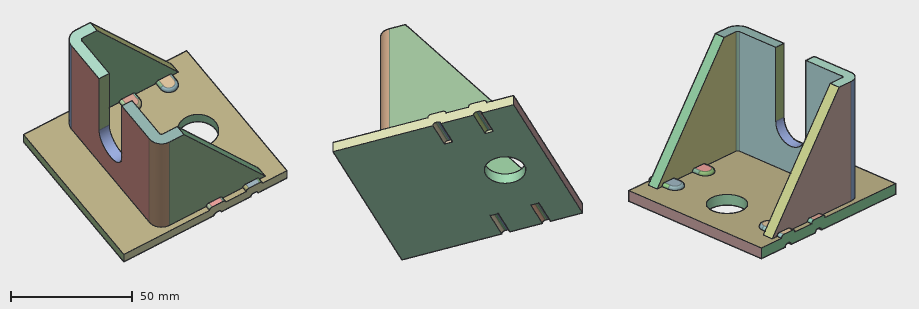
import cadquery as cq

plate_width = 75.0
plate_depth = 80
plate_thickness = 5.0
hole_diameter = 17.0
hole_y = 21.0

rib_end_radius = 4
rib_height = 1.4
rib_length = 15.0
rib_wall = 2.2
rib_first_y = 6.0
rib_pitch = 18.0
rib_count = 2
rib_side_land = 0.02

total_height = 60
bracket_width = 70.1
bracket_thickness = 5.0
bracket_bend_radius = 6.0
bracket_front_y = -22.0
bracket_depth = 53.0
cheek_top_depth = 13.1
notch_width = hole_diameter
notch_bottom_z = 17.4

bracket_height = total_height - plate_thickness
bracket_back_y = bracket_front_y + bracket_depth
rib_edge_radius = rib_height - rib_side_land
rib_centre_inset = rib_length - rib_end_radius


def rounded_rib(side, y):
    """Rib from a side edge (-1 left, +1 right) inward, with a round end and rounded top edges."""
    centre_x = side * (plate_width / 2 - rib_centre_inset)
    overrun = rib_length
    straight_length = rib_centre_inset + overrun
    straight = (
        cq.Workplane("XY", origin=(centre_x + side * straight_length / 2, y, plate_thickness))
        .rect(straight_length, 2 * rib_end_radius)
        .extrude(rib_height)
    )
    end = cq.Workplane("XY", origin=(centre_x, y, plate_thickness)).circle(rib_end_radius).extrude(rib_height)
    rib = straight.union(end).faces(">Z").edges().fillet(rib_edge_radius)
    envelope = cq.Workplane("XY", origin=(0, 0, plate_thickness)).box(
        plate_width, plate_depth, rib_height, centered=(True, True, False)
    )
    return rib.intersect(envelope)


def rib_hollow(side, y):
    """Square-ended groove under a rib, with rounded upper edges."""
    length = rib_length - rib_wall
    return (
        cq.Workplane("XY", origin=(side * (plate_width - length) / 2, y, 0))
        .box(length, 2 * (rib_end_radius - rib_wall), rib_height, centered=(True, True, False))
        .edges("|X and >Z")
        .fillet(rib_edge_radius)
    )


def make_plate():
    plate = cq.Workplane("XY").box(
        plate_width, plate_depth, plate_thickness, centered=(True, True, False)
    )
    hole = cq.Workplane("XY", origin=(0, hole_y, 0)).circle(hole_diameter / 2).extrude(plate_thickness)
    plate = plate.cut(hole)
    for side in (-1, 1):
        for index in range(rib_count):
            y = rib_first_y + index * rib_pitch
            plate = plate.union(rounded_rib(side, y))
            plate = plate.cut(rib_hollow(side, y))
    return plate


def make_channel():
    """Full-height U channel, open towards +Y, with bent corners."""
    outer = (
        cq.Workplane("XY", origin=(0, bracket_front_y + bracket_depth / 2, plate_thickness))
        .box(bracket_width, bracket_depth, bracket_height, centered=(True, True, False))
        .edges("|Z and <Y")
        .fillet(bracket_bend_radius)
    )
    inner = (
        cq.Workplane("XY", origin=(0, bracket_back_y, plate_thickness))
        .box(
            bracket_width - 2 * bracket_thickness,
            2 * (bracket_depth - bracket_thickness),
            bracket_height,
            centered=(True, True, False),
        )
        .edges("|Z and <Y")
        .fillet(bracket_bend_radius - bracket_thickness)
    )
    return outer.cut(inner)


def cheek_profile():
    """Side outline of the bracket, sloping from its top down to the plate."""
    return (
        cq.Workplane("YZ")
        .moveTo(bracket_front_y, plate_thickness)
        .lineTo(bracket_back_y, plate_thickness)
        .lineTo(bracket_front_y + cheek_top_depth, total_height)
        .lineTo(bracket_front_y, total_height)
        .close()
        .extrude(bracket_width / 2, both=True)
    )


def front_notch():
    """Open-topped slot with a round bottom through the front wall."""
    radius = notch_width / 2
    centre_z = notch_bottom_z + radius
    return (
        cq.Workplane("XZ", origin=(0, bracket_front_y, 0))
        .moveTo(-radius, total_height)
        .lineTo(-radius, centre_z)
        .threePointArc((0, notch_bottom_z), (radius, centre_z))
        .lineTo(radius, total_height)
        .close()
        .extrude(-bracket_thickness)
    )


def make_bracket(plate):
    """Bracket with recesses in its foot that fit over the plate's ribs."""
    return make_channel().intersect(cheek_profile()).cut(front_notch()).cut(plate)


base_plate = make_plate()
bracket = make_bracket(base_plate)
result = cq.Compound.makeCompound([base_plate.solids().val(), bracket.solids().val()])